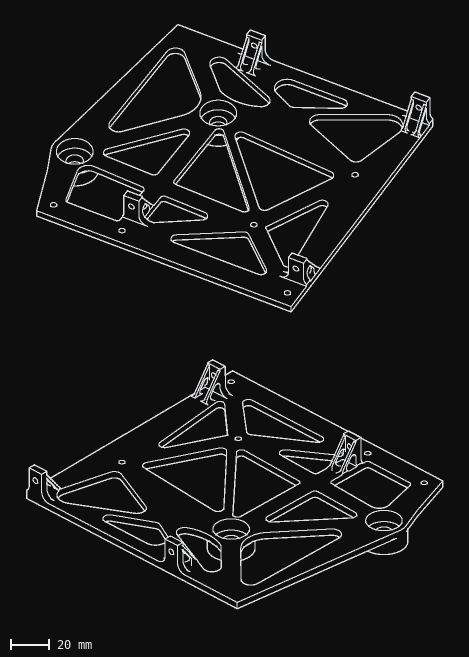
import cadquery as cq
import math

plate_right = 165.76
plate_depth = 156.0
plate_thickness = 4.0
back_left_corner = (15.4, plate_depth)
front_left_corner = (15.7, 0.0)
left_edge_bend = (2.3, 64.0)
front_edge_bend = (6.5, 29.0)
boss_entry_y = 51.3
boss_exit_y = 43.0

boss_radius = 25.0 / 2
bearing_diameter = 19.0
bearing_depth = 7.0
relief_diameter = 9.0
boss_floor = 1.0
outer_boss_center = (boss_radius, 48.0)
outer_boss_height = 9.0
inner_boss_center = (64.8, 108.2)
inner_boss_height = 8.0

screw_diameter = 3.3
front_hole_y = 8.0
screw_holes = [
    (21.5, front_hole_y),
    (61.8, front_hole_y),
    (159.3, front_hole_y),
    (120.1, 44.2),
    (149.0, 101.6),
]

lug_width = 9.0
lug_thickness = 4.0
lug_height = 16.0
lug_foot_radius = 5.0
small_foot_radius = 2.5
lug_hole_diameter = 3.25
lug_hole_height = 10.0
left_lug_x = 62.5
right_lug_x = 159.5
front_lug_y = 17.0
brace_width = 1.5
brace_thickness = 1.5
brace_foot_radius = 2.0
back_brace_height = 14.0
back_brace_reach = 10.5
front_brace_height = 15.0
front_brace_reach = 11.1
front_brace_arch_radius = 2.2

front_pocket_y = 13.1
POCKETS = [
    [(18.0, 62.2, 5.0), (58.2, 108.2, 15.0), (20.2, 147.7, 5.0)],
    [(132.3, 147.9, 3.5), (96.1, 129.8, 3.5), (60.5, 147.9, 6.5)],
    [(159.3, 157.5, 8.0), (145.7, 108.2, 4.0), (102.6, 127.1, 5.0)],
    [(141.5, 97.2, 3.0), (119.3, 53.6, 3.0), (76.0, 102.3, 3.0)],
    [(68.2, 51.4, 2.0), (115.8, 49.8, 2.5), (69.5, 102.4, 2.5)],
    [(58.2, 51.8, 2.5), (22.3, 52.9, 3.0), (59.3, 94.9, 3.0)],
    [(57.7, 41.4, 2.0), (57.1, front_pocket_y, 2.0), (25.6, front_pocket_y, 2.0), (18.8, 43.3, 6.0)],
    [(102.9, 39.9, 3.0), (73.5, front_lug_y + lug_thickness, 0), (67.4, front_lug_y + lug_thickness, 0),
     (67.9, 41.0, 2.0)],
    [(152.3, 20.9, 2.5), (126.3, 45.5, 0), (146.3, 84.9, 3.0)],
    [(79.2, front_pocket_y, 3.0), (147.1, front_pocket_y, 3.0), (119.6, 38.0, 2.5)],
]

bowed_back_left = (28.2, 154.4)
bowed_front = (58.2, 122.9)
bowed_middle = (70.8, 120.2)
bowed_right = (89.3, 127.9)
bowed_back_left_radius = 4.8
bowed_front_radius = 4.0
bowed_right_radius = 4.5

cut_height = plate_thickness + lug_height + 1.0


def boss_left_point(y):
    """Point on the left half of the outer boss circle at height y."""
    dy = y - outer_boss_center[1]
    return (outer_boss_center[0] - math.sqrt(boss_radius ** 2 - dy ** 2), y)


def make_plate():
    outline = [
        front_left_corner,
        (plate_right, 0.0),
        (plate_right, plate_depth),
        back_left_corner,
        left_edge_bend,
        boss_left_point(boss_entry_y),
        boss_left_point(boss_exit_y),
        front_edge_bend,
    ]
    return cq.Workplane("XY").polyline(outline).close().extrude(plate_thickness)


def cylinder(center, diameter, bottom, top):
    return cq.Workplane("XY", origin=(*center, bottom)).circle(diameter / 2).extrude(top - bottom)


def add_boss(body, center, height):
    return body.union(cylinder(center, 2 * boss_radius, -height, plate_thickness))


def bore_boss(body, center, height):
    bearing = cylinder(center, bearing_diameter, plate_thickness - bearing_depth, cut_height)
    relief = cylinder(center, relief_diameter, boss_floor - height, cut_height)
    return body.cut(bearing).cut(relief)


def round_corner(prism, corner, radius):
    middle = (*corner, cut_height / 2)
    return prism.edges(cq.selectors.NearestToPointSelector(middle)).fillet(radius)


def make_pocket(corners):
    """Prism with rounded upright corners; it also clips any lug foot reaching over the pocket."""
    prism = cq.Workplane("XY").polyline([(x, y) for x, y, _ in corners]).close().extrude(cut_height)
    for x, y, radius in corners:
        if radius > 0:
            prism = round_corner(prism, (x, y), radius)
    return prism


def make_bowed_pocket():
    prism = (
        cq.Workplane("XY")
        .moveTo(*bowed_back_left)
        .lineTo(*bowed_front)
        .threePointArc(bowed_middle, bowed_right)
        .close()
        .extrude(cut_height)
    )
    prism = round_corner(prism, bowed_back_left, bowed_back_left_radius)
    prism = round_corner(prism, bowed_front, bowed_front_radius)
    return round_corner(prism, bowed_right, bowed_right_radius)



def make_flared_upright(center_x, width, height, left_radius, right_radius, depth):
    """Upright from Y = 0 to Y = depth that flares into the plate; a zero radius leaves a side straight."""
    left = center_x - width / 2
    right = center_x + width / 2
    mid_arc = 1 - math.sqrt(0.5)
    profile = cq.Workplane("XZ").moveTo(left - left_radius, 0)
    if left_radius > 0:
        middle = (left - left_radius * mid_arc, left_radius * mid_arc)
        profile = profile.threePointArc(middle, (left, left_radius))
    profile = profile.lineTo(left, height).lineTo(right, height).lineTo(right, right_radius)
    if right_radius > 0:
        middle = (right + right_radius * mid_arc, right_radius * mid_arc)
        profile = profile.threePointArc(middle, (right + right_radius, 0))
    return profile.close().extrude(-depth)


def make_lug_upright(left_foot_radius):
    upright = make_flared_upright(
        0, lug_width, lug_height, left_foot_radius, lug_foot_radius, -lug_thickness
    )
    hole = (
        cq.Workplane("XZ")
        .center(0, lug_hole_height)
        .circle(lug_hole_diameter / 2)
        .extrude(lug_thickness)
    )
    return upright.cut(hole)


def make_brace_web(height, reach, arch_radius, inner_foot_radius, outer_foot_radius):
    """Side profile of a brace, drawn out over the full lug width and the feet on either side."""
    web_width = lug_width + 2 * brace_foot_radius
    slope = math.atan2(height, reach)
    web = cq.Workplane("YZ", origin=(-web_width / 2, 0, 0)).lineTo(0, height)
    if outer_foot_radius > 0:
        tangent = outer_foot_radius * math.tan(slope / 2)
        middle = (
            reach + tangent - outer_foot_radius * math.sin(slope / 2),
            outer_foot_radius * (1 - math.cos(slope / 2)),
        )
        web = web.lineTo(reach - tangent * math.cos(slope), tangent * math.sin(slope))
        web = web.threePointArc(middle, (reach + tangent, 0))
    else:
        web = web.lineTo(reach, 0)
    web = web.close().extrude(web_width)

    opening_reach = reach - brace_thickness / math.sin(slope)
    opening_height = opening_reach * math.tan(slope)
    opening = (
        cq.Workplane("YZ", origin=(-web_width / 2, 0, 0))
        .lineTo(0, opening_height)
        .lineTo(opening_reach, 0)
        .close()
        .extrude(web_width)
    )
    if arch_radius > 0:
        opening = opening.edges(">Z").fillet(arch_radius)
    if inner_foot_radius > 0:
        opening = opening.edges(">Y").fillet(inner_foot_radius)
    return web.cut(opening)


def make_lug(web, left_foot_radius=lug_foot_radius, right_brace_inner_flare=brace_foot_radius):
    """Upright with two braces, each cut from the wide brace web by a thin flared upright."""
    lug = make_lug_upright(left_foot_radius)
    brace_x = (lug_width - brace_width) / 2
    web_length = web.val().BoundingBox().ymax
    for center_x, left_flare in ((-brace_x, brace_foot_radius), (brace_x, right_brace_inner_flare)):
        column = make_flared_upright(
            center_x, brace_width, lug_height, left_flare, brace_foot_radius, web_length
        )
        lug = lug.union(web.intersect(column))
    return lug


def make_lugs():
    front_face_y = front_lug_y + lug_thickness
    back_face_y = plate_depth - lug_thickness
    front_size = (front_brace_height, front_brace_reach, front_brace_arch_radius)
    back_size = (back_brace_height, back_brace_reach, 0)
    front_left = make_lug(
        make_brace_web(*front_size, brace_foot_radius, brace_foot_radius),
        left_foot_radius=small_foot_radius,
    )
    front_right = make_lug(
        make_brace_web(*front_size, brace_foot_radius, 0),
        right_brace_inner_flare=0,
    )
    back_left = make_lug(make_brace_web(*back_size, brace_foot_radius, 0))
    back_right = make_lug(make_brace_web(*back_size, 0, 0))

    turn = ((0, 0, 0), (0, 0, 1), 180)
    lugs = [
        front_left.translate((left_lug_x, front_face_y, plate_thickness)),
        front_right.translate((right_lug_x, front_face_y, plate_thickness)),
        back_left.rotate(*turn).translate((left_lug_x, back_face_y, plate_thickness)),
        back_right.rotate(*turn).translate((right_lug_x, back_face_y, plate_thickness)),
    ]
    limit = cq.Workplane("XY").box(plate_right, plate_depth, cut_height, centered=False)
    return [lug.intersect(limit) for lug in lugs]


def build_part():
    bosses = [(outer_boss_center, outer_boss_height), (inner_boss_center, inner_boss_height)]
    body = make_plate()
    for center, height in bosses:
        body = add_boss(body, center, height)
    for lug in make_lugs():
        body = body.union(lug)
    for corners in POCKETS:
        body = body.cut(make_pocket(corners))
    body = body.cut(make_bowed_pocket())
    for center, height in bosses:
        body = bore_boss(body, center, height)
    for center in screw_holes:
        body = body.cut(cylinder(center, screw_diameter, 0, cut_height))
    return body


result = build_part()